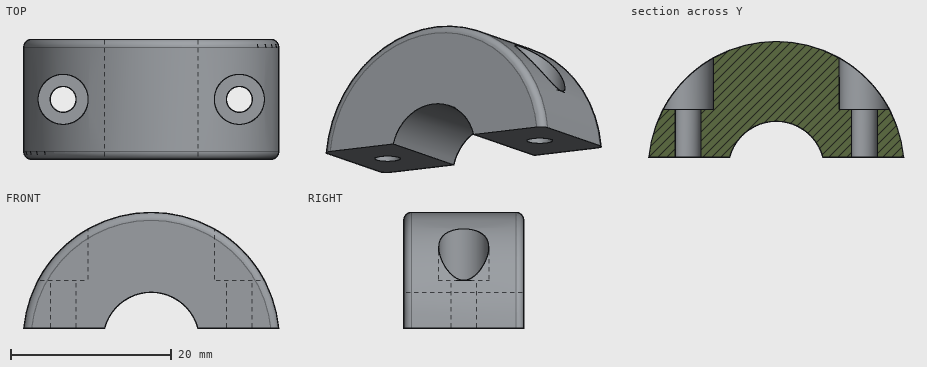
import cadquery as cq

outer_radius = 16.0
bore_radius = 6.0
width = 15.0
axis_drop = 1.5
edge_fillet = 1.0
screw_spacing = 22.0
screw_hole_diameter = 3.2
head_diameter = 6.25
head_seat_height = 6.0


def cylinder_along_y(radius):
    """Cylinder centred on the clamp axis, spanning the part's width."""
    section = cq.Workplane("XZ").center(0, -axis_drop).circle(radius)
    return section.extrude(width / 2, both=True)


def clamp_body():
    """Rounded disc with a central bore, cut off at the mating face."""
    disc = cylinder_along_y(outer_radius).edges("%CIRCLE").fillet(edge_fillet)
    ring = disc.cut(cylinder_along_y(bore_radius))
    upper_space = cq.Workplane("XY").box(
        2 * outer_radius, width, outer_radius, centered=(True, True, False)
    )
    return ring.intersect(upper_space)


def screw_cutter(x):
    """Through hole with a flat-bottomed pocket for the screw head."""
    axis = cq.Workplane("XY").center(x, 0)
    hole = axis.circle(screw_hole_diameter / 2).extrude(outer_radius)
    head_pocket = (
        axis.workplane(offset=head_seat_height)
        .circle(head_diameter / 2)
        .extrude(outer_radius)
    )
    return hole.union(head_pocket)


result = clamp_body()
for side in (-1, 1):
    result = result.cut(screw_cutter(side * screw_spacing / 2))